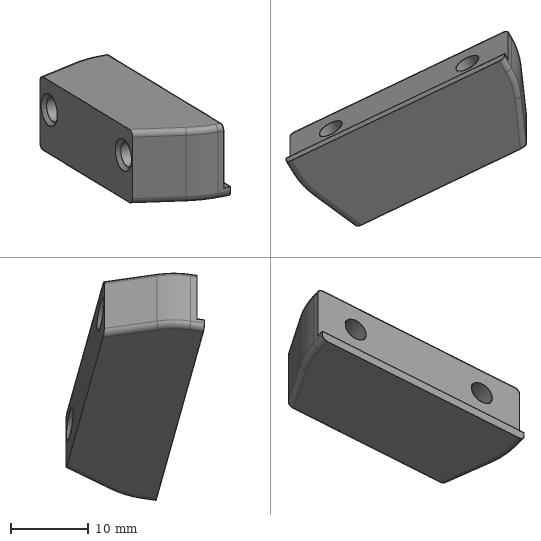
import cadquery as cq
import math

back_width = 32.0
front_width = 25.0
depth = 12.5
height = 10.0
flare_angle = math.radians(22.5)
flare_blend_radius = 11.0
edge_radius = 0.8

lip_depth = 1.0
lip_height = 1.4

hole_spacing = 20.0
hole_z = 6.0
hole_diameter = 3.3
countersink_diameter = 4.35
countersink_angle = 90.0


def make_body():
    """Flared block with its front face on y = 0, before rounding."""
    half_back = back_width / 2
    half_front = front_width / 2
    corner_y = (half_back - half_front) / math.tan(flare_angle)
    tangent_length = flare_blend_radius * math.tan(flare_angle / 2)
    arc_center_x = half_back - flare_blend_radius
    arc_start_y = corner_y + tangent_length

    def arc_point(angle):
        x = arc_center_x + flare_blend_radius * math.cos(angle)
        y = arc_start_y - flare_blend_radius * math.sin(angle)
        return x, y

    arc_mid_x, arc_mid_y = arc_point(flare_angle / 2)
    arc_end_x, arc_end_y = arc_point(flare_angle)

    return (
        cq.Workplane("XY")
        .moveTo(-half_front, 0)
        .lineTo(half_front, 0)
        .lineTo(arc_end_x, arc_end_y)
        .threePointArc((arc_mid_x, arc_mid_y), (half_back, arc_start_y))
        .lineTo(half_back, depth)
        .lineTo(-half_back, depth)
        .lineTo(-half_back, arc_start_y)
        .threePointArc((-arc_mid_x, arc_mid_y), (-arc_end_x, arc_end_y))
        .close()
        .extrude(height)
    )


def round_side_walls(body):
    """Round the top and bottom edges of both side walls."""
    return body.faces("<Z or >Z").edges("not |X").fillet(edge_radius)


def cut_back_step(body):
    """Remove the back above the lip."""
    step = cq.Workplane("XY").box(
        back_width, lip_depth, height - lip_height, centered=(True, False, False)
    )
    return body.cut(step.translate((0, depth - lip_depth, lip_height)))


def cut_screw_holes(body):
    """Drill the holes through from the front face, countersunk at the front."""
    return (
        body.faces("<Y")
        .workplane(origin=(0, 0, hole_z))
        .pushPoints([(-hole_spacing / 2, 0), (hole_spacing / 2, 0)])
        .cskHole(hole_diameter, countersink_diameter, countersink_angle)
    )


result = cut_screw_holes(cut_back_step(round_side_walls(make_body())))